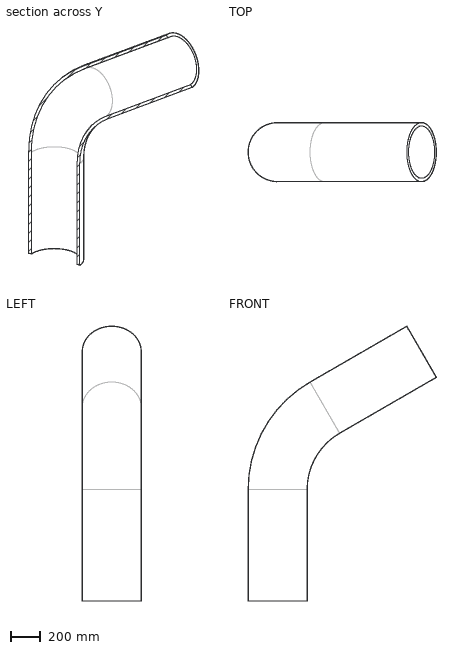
import cadquery as cq
import math

outer_diameter = 400.0
bore_diameter = 352.6

bend_angle = 60.0
bend_radius = 637.0
end_to_corner = 1122.31
leg_length = end_to_corner - bend_radius * math.tan(math.radians(bend_angle / 2))


def bent_rod(diameter):
    """Solid round bar following the pipe centreline, starting at the origin."""
    radius = diameter / 2
    lower_leg = cq.Workplane("XY").circle(radius).extrude(leg_length)
    bend = (
        cq.Workplane("XY", origin=(0, 0, leg_length))
        .circle(radius)
        .revolve(bend_angle, (bend_radius, 0, 0), (bend_radius, 1, 0))
    )
    bend_end = bend.faces(">X").workplane(centerOption="CenterOfMass")
    upper_leg = bend_end.circle(radius).extrude(leg_length, combine=False)
    return lower_leg.union(bend).union(upper_leg)


result = bent_rod(outer_diameter).cut(bent_rod(bore_diameter))